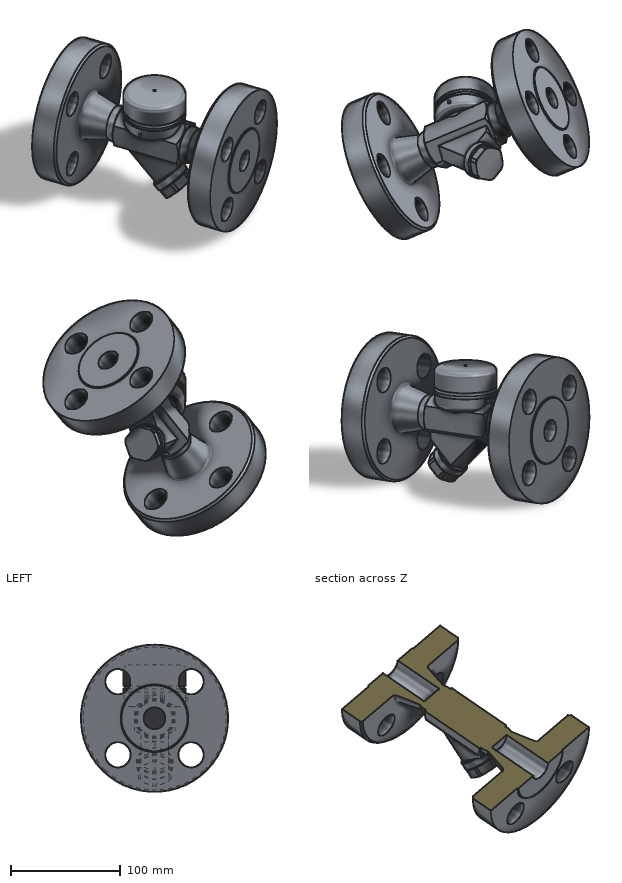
import cadquery as cq
import math

overall_length = 185.0
flange_diameter = 135.0
flange_back_x = 67.3
flange_chamfer = 2.0
raised_face_height = 1.0
raised_face_diameter = 60.3
raised_face_root_diameter = 62.2
bolt_hole_diameter = 23.0
bolt_spacing = 67.0
bore_diameter = 20.0

hub_root_diameter = 48.8
hub_round_middle_x = 66.5
hub_round_middle_diameter = 45.5
hub_large_diameter = 44.0
hub_large_x = 64.8
hub_small_diameter = 32.2
hub_small_x = 41.6
weld_bead_diameter = 34.6
weld_bead_crown_x = 37.0
weld_bead_end_diameter = 34.0

body_length = 67.7
body_across_flats = 37.4
body_end_circle_radius = 18.3
corner_chamfer_slope = math.tan(math.radians(60))

lug_top_z = 22.5
lug_width = 10.2
lug_flare_radius = 3.7
lug_flare_start_x = -30.3

bonnet_diameter = 57.5
bonnet_top_z = 49.0
bonnet_top_round = 5.4
groove_top_z = 30.0
groove_bottom_z = 27.0
groove_depth = 1.5
rim_bottom_z = 24.0
cup_diameter = 56.0
cup_bottom_z = 11.1
cup_bottom_round = 4.8
seat_diameter = 40.0
seat_taper_height = 4.0
seat_bottom_diameter = 36.3
top_pip_diameter = 2.2
top_pip_height = 0.5
side_pip_diameter = 3.0
side_pip_z = 17.5
side_pip_center_y = -28.9

branch_angle = 45
branch_start_x = -25.0
branch_across_flats = 25.5
branch_root = 11.1
branch_end = 54.0
branch_side_x = 30.0

plug_collar_diameter = 33.3
plug_collar_length = 8.9
plug_seat_diameter = 31.8
plug_seat_chamfer_length = 1.0
plug_collar_chamfer = 1.3
plug_hex_across_flats = 29.6
plug_hex_corner_diameter = 32.5
plug_hex_length = 8.7
plug_hex_chamfer = 0.5

half_length = overall_length / 2
flange_front_x = half_length - raised_face_height
body_end_x = body_length / 2
corner_ratio = 2 / math.sqrt(3)
body_corner_radius = body_across_flats * corner_ratio / 2
bonnet_radius = bonnet_diameter / 2
cup_radius = cup_diameter / 2

branch_cos = math.cos(math.radians(branch_angle))
branch_sin = math.sin(math.radians(branch_angle))


def branch_point(distance):
    """Point on the branch axis at a distance from the pipe axis."""
    return (branch_start_x + distance * branch_cos, 0, -distance * branch_sin)


def branch_plane(distance):
    """Plane across the branch axis: local x is Y, the normal runs down the branch."""
    return cq.Plane(origin=branch_point(distance), xDir=(0, 1, 0), normal=(branch_cos, 0, -branch_sin))


def branch_hexagon(start, across_flats, length):
    """Hexagonal prism on the branch axis with two flats facing -Y and +Y."""
    return (
        cq.Workplane(branch_plane(start))
        .transformed(rotate=(0, 0, 90))
        .polygon(6, across_flats * corner_ratio)
        .extrude(length)
    )


def turn_on_branch_axis(profile):
    """Solid of revolution about the branch axis, from (radius, distance along the axis) points."""
    half_plane = cq.Plane(origin=branch_point(0), xDir=(branch_sin, 0, branch_cos), normal=(0, 1, 0))
    return cq.Workplane(half_plane).polyline(profile).close().revolve(360, (0, 0, 0), (0, 1, 0))


def make_hexagon():
    """Hexagonal bar with its lug, both ends turned to a cone."""
    bar = (
        cq.Workplane("YZ", origin=(-body_end_x, 0, 0))
        .transformed(rotate=(0, 0, 90))
        .polygon(6, 2 * body_corner_radius)
        .extrude(body_length)
    )
    lug_half_width = lug_width / 2
    flare_end_x = lug_flare_start_x + lug_flare_radius
    flare_half_width = lug_half_width + lug_flare_radius
    lug = (
        cq.Workplane("XY")
        .moveTo(-body_end_x, 0)
        .lineTo(-body_end_x, -lug_half_width)
        .lineTo(lug_flare_start_x, -lug_half_width)
        .tangentArcPoint((flare_end_x, -flare_half_width), relative=False)
        .lineTo(flare_end_x, 0)
        .mirrorX()
        .extrude(lug_top_z)
    )

    middle_radius = body_end_circle_radius + body_end_x * corner_chamfer_slope
    envelope = (
        cq.Workplane("XZ")
        .polyline([
            (-body_end_x, 0),
            (-body_end_x, body_end_circle_radius),
            (0, middle_radius),
            (body_end_x, body_end_circle_radius),
            (body_end_x, 0),
        ])
        .close()
        .revolve(360, (0, 0, 0), (1, 0, 0))
    )
    return bar.union(lug).intersect(envelope)


def make_end():
    """Flange and welding neck on the +X side, without holes."""
    hub_large_radius = hub_large_diameter / 2
    hub_root_radius = hub_root_diameter / 2
    hub_small_radius = hub_small_diameter / 2
    bead_crown = (weld_bead_crown_x, weld_bead_diameter / 2)
    bead_end_radius = weld_bead_end_diameter / 2
    flange_radius = flange_diameter / 2
    hub_round_middle = (hub_round_middle_x, hub_round_middle_diameter / 2)
    return (
        cq.Workplane("XZ")
        .moveTo(0, 0)
        .lineTo(0, bead_end_radius)
        .lineTo(body_end_x, bead_end_radius)
        .threePointArc(bead_crown, (hub_small_x, hub_small_radius))
        .lineTo(hub_large_x, hub_large_radius)
        .threePointArc(hub_round_middle, (flange_back_x, hub_root_radius))
        .lineTo(flange_back_x, flange_radius - flange_chamfer)
        .lineTo(flange_back_x + flange_chamfer, flange_radius)
        .lineTo(flange_front_x, flange_radius)
        .lineTo(flange_front_x, raised_face_root_diameter / 2)
        .lineTo(half_length, raised_face_diameter / 2)
        .lineTo(half_length, 0)
        .close()
        .revolve(360, (0, 0, 0), (1, 0, 0))
    )


def make_end_holes():
    """Bolt holes and the blind bore through flange and hub of the +X end."""
    face = cq.Workplane("YZ", origin=(half_length, 0, 0))
    bolt_holes = (
        face.rect(bolt_spacing, bolt_spacing, forConstruction=True)
        .vertices()
        .circle(bolt_hole_diameter / 2)
        .extrude(-(half_length - hub_large_x))
    )
    bore = face.circle(bore_diameter / 2).extrude(-(half_length - hub_small_x))
    return bolt_holes.union(bore)


def make_bonnet():
    """Turned bonnet: domed top, round groove, rim, cup and tapered seat, plus two pips."""
    seat_top_radius = seat_diameter / 2
    round_shift = 1 - math.sqrt(0.5)
    top_shift = bonnet_top_round * round_shift
    bottom_shift = cup_bottom_round * round_shift
    groove_middle = (bonnet_radius - groove_depth, (groove_top_z + groove_bottom_z) / 2)
    turned = (
        cq.Workplane("XZ")
        .moveTo(0, bonnet_top_z)
        .lineTo(bonnet_radius - bonnet_top_round, bonnet_top_z)
        .threePointArc(
            (bonnet_radius - top_shift, bonnet_top_z - top_shift),
            (bonnet_radius, bonnet_top_z - bonnet_top_round),
        )
        .lineTo(bonnet_radius, groove_top_z)
        .threePointArc(groove_middle, (bonnet_radius, groove_bottom_z))
        .lineTo(bonnet_radius, rim_bottom_z)
        .lineTo(cup_radius, rim_bottom_z)
        .lineTo(cup_radius, cup_bottom_z + cup_bottom_round)
        .threePointArc(
            (cup_radius - bottom_shift, cup_bottom_z + bottom_shift),
            (cup_radius - cup_bottom_round, cup_bottom_z),
        )
        .lineTo(seat_top_radius, cup_bottom_z)
        .lineTo(seat_bottom_diameter / 2, cup_bottom_z - seat_taper_height)
        .lineTo(0, cup_bottom_z - seat_taper_height)
        .close()
        .revolve(360, (0, 0, 0), (0, 1, 0))
    )
    top_pip = (
        cq.Workplane("XY", origin=(0, 0, bonnet_top_z))
        .circle(top_pip_diameter / 2)
        .extrude(top_pip_height)
    )
    side_pip = cq.Workplane("XY").sphere(side_pip_diameter / 2).translate((0, side_pip_center_y, side_pip_z))
    return turned.union(top_pip).union(side_pip)


def make_branch():
    """Hexagonal strainer branch, filled up to the body on its upper side."""
    hexagon = branch_hexagon(branch_root, branch_across_flats, branch_end - branch_root)
    end_x, _, end_z = branch_point(branch_end)
    side_end_z = end_z + (branch_side_x - end_x) * branch_cos / branch_sin
    web = (
        cq.Workplane("XZ")
        .polyline([(branch_start_x, 0), (branch_side_x, 0), (branch_side_x, side_end_z), (end_x, end_z)])
        .close()
        .extrude(branch_across_flats / 2, both=True)
    )
    return hexagon.union(web)


def make_body():
    end = make_end()
    end_holes = make_end_holes()
    body = make_hexagon().union(make_branch()).union(make_bonnet())
    for turn in (0, 180):
        body = body.union(end.rotate((0, 0, 0), (0, 0, 1), turn))
        body = body.cut(end_holes.rotate((0, 0, 0), (0, 0, 1), turn))
    return body


def make_plug():
    """Round collar and hexagonal head, seated flat on the end of the branch."""
    collar_radius = plug_collar_diameter / 2
    corner_radius = plug_hex_corner_diameter / 2
    head_start = branch_end + plug_collar_length
    collar = turn_on_branch_axis([
        (0, branch_end),
        (plug_seat_diameter / 2, branch_end),
        (collar_radius, branch_end + plug_seat_chamfer_length),
        (collar_radius, head_start - plug_collar_chamfer),
        (collar_radius - plug_collar_chamfer, head_start),
        (0, head_start),
    ])
    head_end = head_start + plug_hex_length
    head_blank = turn_on_branch_axis([
        (0, head_start),
        (corner_radius, head_start),
        (corner_radius, head_end - plug_hex_chamfer),
        (corner_radius - plug_hex_chamfer, head_end),
        (0, head_end),
    ])
    head = branch_hexagon(head_start, plug_hex_across_flats, plug_hex_length).intersect(head_blank)
    return collar.union(head)


body = make_body()
plug = make_plug()

result = cq.Compound.makeCompound([body.val(), plug.val()])